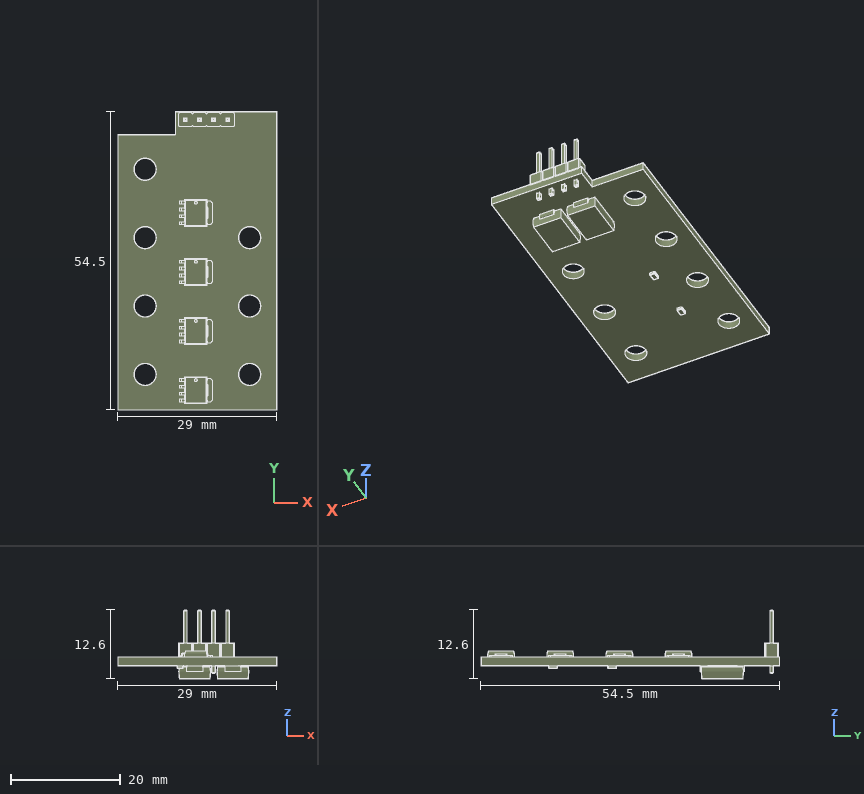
import cadquery as cq


BOARD_WIDTH = 29.0
BOARD_LENGTH = 54.5
BOARD_THICKNESS = 1.65
NOTCH_WIDTH = 10.45
NOTCH_LENGTH = 4.2
HOLE_DIAMETER = 4.0
HOLE_INSET = 4.95
HOLE_FIRST_Y = 6.55
HOLE_PITCH = 12.5
HOLES_LEFT = 4
HOLES_RIGHT = 3

PIN_COUNT = 4
PIN_PITCH = 2.55
PIN_WIDTH = 0.65
PIN_TIP_CHAMFER = 0.15
PIN_RISE = 8.55
PIN_DROP = 1.35
FIRST_PIN_X = 12.3
PIN_Y = 53.05
HEADER_HEIGHT = 2.5
HEADER_CORNER = 0.2

TRANSISTOR_COUNT = 4
TRANSISTOR_PITCH = 10.8
TRANSISTOR_FIRST_Y = 3.65
TRANSISTOR_X = 14.2
TRANSISTOR_LENGTH = 4.1
TRANSISTOR_WIDTH = 4.9
TRANSISTOR_HEIGHT = 1.1
TRANSISTOR_WAIST = 0.55
TRANSISTOR_DRAFT = 0.15
MARK_DIAMETER = 0.5
MARK_DEPTH = 0.15
MARK_OFFSET_Y = 1.85
LEAD_COUNT = 4
LEAD_PITCH = 1.25
LEAD_WIDTH = 0.5
LEAD_THICKNESS = 0.19
LEAD_TOP = 0.7
LEAD_RISER_X = 11.55
LEAD_TIP_X = 11.2
LEAD_INNER_BEND = 0.1
TAB_END_X = 17.2
TAB_WIDTH = 4.25
TAB_THICKNESS = 0.25
TAB_CORNER = 0.3
TAB_FLANGE_LENGTH = 0.9
TAB_NECK_WIDTH = 3.8
STEP_LENGTH = 0.15
STEP_WIDTH = 1.85
STEP_TOP = 0.55

DIODE_COUNT = 2
DIODE_PITCH = 7.0
DIODE_FIRST_X = 14.0
DIODE_Y = 44.05
DIODE_WIDTH = 5.85
DIODE_LENGTH = 7.75
DIODE_DEPTH = 2.35
DIODE_WAIST = 1.05
DIODE_DRAFT = 0.1
DIODE_STANDOFF = 0.15
CLIP_WIDTH = 2.95
CLIP_SPAN = 8.1
CLIP_FOOT_LENGTH = 1.35
CLIP_BEND = 0.1

RESISTOR_COUNT = 2
RESISTOR_FIRST_Y = 13.15
RESISTOR_X = 11.35
RESISTOR_WIDTH = 1.1
RESISTOR_LENGTH = 1.65
RESISTOR_DEPTH = 0.5
RESISTOR_CHAMFER = 0.1


def block(x_range, y_range, z_range):
    """A box between the two limits given for each axis."""
    size = [high - low for low, high in (x_range, y_range, z_range)]
    corner = (x_range[0], y_range[0], z_range[0])
    return cq.Workplane("XY").box(*size, centered=False).translate(corner)


def around(middle, size):
    """The two limits of a length centred on a place."""
    return (middle - size / 2, middle + size / 2)


def pin_places():
    return [(FIRST_PIN_X + i * PIN_PITCH, PIN_Y) for i in range(PIN_COUNT)]


def make_board():
    outline = [
        (0, 0),
        (BOARD_WIDTH, 0),
        (BOARD_WIDTH, BOARD_LENGTH),
        (NOTCH_WIDTH, BOARD_LENGTH),
        (NOTCH_WIDTH, BOARD_LENGTH - NOTCH_LENGTH),
        (0, BOARD_LENGTH - NOTCH_LENGTH),
    ]
    hole_rows = [HOLE_FIRST_Y + i * HOLE_PITCH for i in range(HOLES_LEFT)]
    left_holes = [(HOLE_INSET, y) for y in hole_rows]
    right_holes = [(BOARD_WIDTH - HOLE_INSET, y) for y in hole_rows[:HOLES_RIGHT]]
    board = cq.Workplane("XY").polyline(outline).close().extrude(BOARD_THICKNESS)
    round_holes = cq.Workplane("XY").pushPoints(left_holes + right_holes).circle(HOLE_DIAMETER / 2)
    pin_holes = cq.Workplane("XY").pushPoints(pin_places()).rect(PIN_WIDTH, PIN_WIDTH)
    board = board.cut(round_holes.extrude(BOARD_THICKNESS))
    return board.cut(pin_holes.extrude(BOARD_THICKNESS))


def make_header():
    """A row of square cells with bevelled corners, each holding one pin."""
    top = BOARD_THICKNESS + HEADER_HEIGHT
    header = cq.Workplane("XY")
    for x, y in pin_places():
        cell = block(around(x, PIN_PITCH), around(y, PIN_PITCH), (BOARD_THICKNESS, top))
        header = header.add(cell.edges("|Z").chamfer(HEADER_CORNER))
    for x, y in pin_places():
        pin_range = (-PIN_DROP, BOARD_THICKNESS + PIN_RISE)
        pin = block(around(x, PIN_WIDTH), around(y, PIN_WIDTH), pin_range)
        header = header.add(pin.faces("<Z or >Z").chamfer(PIN_TIP_CHAMFER))
    return header.combine()


def make_transistor(y):
    """A moulded package with a row of bent leads on its left and a flat tab on its right."""
    return (
        transistor_package()
        .union(transistor_leads())
        .union(transistor_tab())
        .translate((0, y, BOARD_THICKNESS))
    )


def transistor_package():
    """A straight base with a tapered crown, a small step on the right and a pin-one mark."""
    top_size = (TRANSISTOR_LENGTH - 2 * TRANSISTOR_DRAFT, TRANSISTOR_WIDTH - 2 * TRANSISTOR_DRAFT)
    right = TRANSISTOR_X + TRANSISTOR_LENGTH / 2
    centre = cq.Workplane("XY", origin=(TRANSISTOR_X, 0, 0))
    base = centre.rect(TRANSISTOR_LENGTH, TRANSISTOR_WIDTH).extrude(TRANSISTOR_WAIST)
    waist = centre.workplane(offset=TRANSISTOR_WAIST).rect(TRANSISTOR_LENGTH, TRANSISTOR_WIDTH)
    crown = waist.workplane(offset=TRANSISTOR_HEIGHT - TRANSISTOR_WAIST).rect(*top_size).loft()
    package = base.union(crown)
    step_outline = [
        (right, -STEP_WIDTH / 2 - STEP_LENGTH),
        (right + STEP_LENGTH, -STEP_WIDTH / 2),
        (right + STEP_LENGTH, STEP_WIDTH / 2),
        (right, STEP_WIDTH / 2 + STEP_LENGTH),
    ]
    step = cq.Workplane("XY").polyline(step_outline).close().extrude(STEP_TOP)
    mark_floor = (TRANSISTOR_X, MARK_OFFSET_Y, TRANSISTOR_HEIGHT - MARK_DEPTH)
    mark = cq.Workplane("XY", origin=mark_floor).circle(MARK_DIAMETER / 2).extrude(MARK_DEPTH)
    return package.union(step).cut(mark)


def transistor_leads():
    """Leads that run out of the package, bend down to the board and end in a flat foot."""
    riser_right = LEAD_RISER_X + LEAD_THICKNESS
    arm_bottom = LEAD_TOP - LEAD_THICKNESS
    outer_bend = LEAD_INNER_BEND + LEAD_THICKNESS
    side_outline = (
        cq.Workplane("XZ")
        .moveTo(LEAD_TIP_X, 0)
        .lineTo(riser_right - outer_bend, 0)
        .radiusArc((riser_right, outer_bend), -outer_bend)
        .lineTo(riser_right, arm_bottom - LEAD_INNER_BEND)
        .radiusArc((riser_right + LEAD_INNER_BEND, arm_bottom), LEAD_INNER_BEND)
        .lineTo(TRANSISTOR_X, arm_bottom)
        .lineTo(TRANSISTOR_X, LEAD_TOP)
        .lineTo(LEAD_RISER_X + outer_bend, LEAD_TOP)
        .radiusArc((LEAD_RISER_X, LEAD_TOP - outer_bend), -outer_bend)
        .lineTo(LEAD_RISER_X, LEAD_THICKNESS + LEAD_INNER_BEND)
        .radiusArc((LEAD_RISER_X - LEAD_INNER_BEND, LEAD_THICKNESS), LEAD_INNER_BEND)
        .lineTo(LEAD_TIP_X, LEAD_THICKNESS)
        .close()
    )
    lead = side_outline.extrude(LEAD_WIDTH / 2, both=True)
    leads = cq.Workplane("XY")
    for i in range(LEAD_COUNT):
        leads = leads.add(lead.translate((0, (i - (LEAD_COUNT - 1) / 2) * LEAD_PITCH, 0)))
    return leads.combine()


def transistor_tab():
    """A flat plate whose neck leaves the package and widens into a bevelled flange."""
    flange_start = TAB_END_X - TAB_FLANGE_LENGTH
    neck = block((TRANSISTOR_X, flange_start), around(0, TAB_NECK_WIDTH), (0, TAB_THICKNESS))
    flange = block((flange_start, TAB_END_X), around(0, TAB_WIDTH), (0, TAB_THICKNESS))
    return neck.union(flange.edges("|Z and >X").chamfer(TAB_CORNER))


def make_diode(x):
    """A hanging moulded body whose end clips bend round to the board."""
    return diode_body().union(diode_clips()).translate((x, DIODE_Y, 0))


def diode_body():
    """Two tapered halves that meet at the widest level, the waist."""
    narrow_size = (DIODE_WIDTH - 2 * DIODE_DRAFT, DIODE_LENGTH - 2 * DIODE_DRAFT)
    waist = cq.Workplane("XY", origin=(0, 0, -DIODE_WAIST))
    lower, upper = [
        waist.rect(DIODE_WIDTH, DIODE_LENGTH).workplane(offset=end + DIODE_WAIST).rect(*narrow_size).loft()
        for end in (-DIODE_DEPTH, -DIODE_STANDOFF)
    ]
    return lower.union(upper)


def diode_clips():
    """A rounded strap through the body, with a gap that leaves one foot at each end."""
    strap = block(around(0, CLIP_WIDTH), around(0, CLIP_SPAN), (-DIODE_WAIST, 0))
    strap = strap.edges("|X").fillet(CLIP_BEND)
    gap_length = CLIP_SPAN - 2 * CLIP_FOOT_LENGTH
    gap = block(around(0, CLIP_WIDTH), around(0, gap_length), (-DIODE_STANDOFF, 0))
    return strap.cut(gap)


def make_resistor(y):
    chip = block(around(RESISTOR_X, RESISTOR_WIDTH), around(y, RESISTOR_LENGTH), (-RESISTOR_DEPTH, 0))
    return chip.edges("|Z or <Z").chamfer(RESISTOR_CHAMFER)


board = make_board()
header = make_header()
transistors = [
    make_transistor(TRANSISTOR_FIRST_Y + i * TRANSISTOR_PITCH) for i in range(TRANSISTOR_COUNT)
]
diodes = [make_diode(DIODE_FIRST_X + i * DIODE_PITCH) for i in range(DIODE_COUNT)]
resistors = [make_resistor(RESISTOR_FIRST_Y + i * TRANSISTOR_PITCH) for i in range(RESISTOR_COUNT)]

bodies = [board, header, *transistors, *diodes, *resistors]
result = cq.Compound.makeCompound([body.val() for body in bodies])